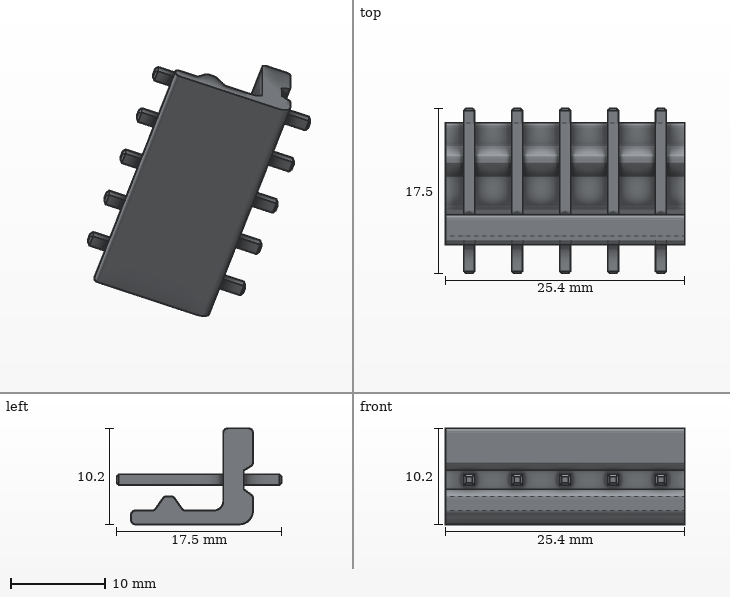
import cadquery as cq

length = 25.4
height = 10.2
depth = 12.95
wall_thickness = 3.18
base_thickness = 1.5
edge_radius = 0.5
heel_radius = base_thickness
inner_radius = 1.0

ridge_center = 8.95
ridge_height = 1.5
ridge_top_half = 0.48
ridge_foot_half = 1.52
ridge_foot_radius = 0.4

groove_depth = 1.0
groove_floor_bottom = 3.73
groove_floor_top = 5.75
groove_mouth_bottom = 3.02
groove_mouth_top = 6.3

pin_count = 5
pin_pitch = 5.08
pin_width = 1.17
pin_center_z = 4.75
pin_length = 17.5
pin_front_reach = 3.02
pin_tip_chamfer = 0.25


def make_housing():
    """Extrude the sharp-cornered section, then round its lengthwise edges."""
    ridge_top = base_thickness + ridge_height
    corners = [
        (0, 0, heel_radius),
        (depth, 0, edge_radius),
        (depth, base_thickness, edge_radius),
        (ridge_center + ridge_foot_half, base_thickness, ridge_foot_radius),
        (ridge_center + ridge_top_half, ridge_top, edge_radius),
        (ridge_center - ridge_top_half, ridge_top, edge_radius),
        (ridge_center - ridge_foot_half, base_thickness, ridge_foot_radius),
        (wall_thickness, base_thickness, inner_radius),
        (wall_thickness, height, edge_radius),
        (0, height, edge_radius),
        (0, groove_mouth_top, edge_radius),
        (groove_depth, groove_floor_top, 0),
        (groove_depth, groove_floor_bottom, 0),
        (0, groove_mouth_bottom, edge_radius),
    ]
    outline = [(y, z) for y, z, _ in corners]
    housing = cq.Workplane("YZ").polyline(outline).close().extrude(length / 2, both=True)
    for radius in (edge_radius, ridge_foot_radius, inner_radius, heel_radius):
        points = [(0, y, z) for y, z, r in corners if r == radius]
        edges = [
            housing.edges("|X").edges(cq.selectors.NearestToPointSelector(point)).val()
            for point in points
        ]
        housing = housing.newObject(edges).fillet(radius)
    return housing


def make_pin(x):
    """Square pin along Y with both tips chamfered."""
    center_y = pin_length / 2 - pin_front_reach
    pin = cq.Workplane("XY").box(pin_width, pin_length, pin_width)
    pin = pin.faces("<Y or >Y").chamfer(pin_tip_chamfer)
    return pin.translate((x, center_y, pin_center_z))


result = make_housing()
for index in range(pin_count):
    result = result.union(make_pin((index - (pin_count - 1) / 2) * pin_pitch))